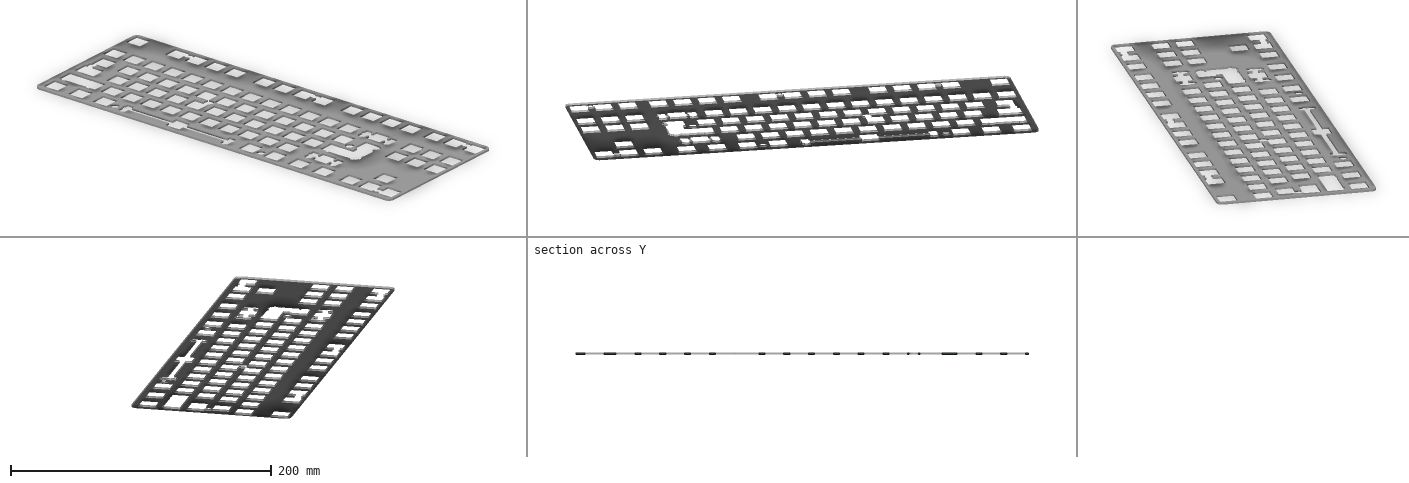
import cadquery as cq

KEY_UNIT = 19.05
FIELD_COLUMNS = 18.25
FIELD_ROWS = 6.5
BOTTOM_LIP = KEY_UNIT / 8
PLATE_LENGTH = FIELD_COLUMNS * KEY_UNIT
PLATE_WIDTH = FIELD_ROWS * KEY_UNIT + BOTTOM_LIP
PLATE_THICKNESS = 1.6
CORNER_RADIUS = 4.65

SWITCH_SIZE = 14.0
MOUNT_DIAMETER = 7.0
WIDE_MOUNT_DIAMETER = 7.5
CENTRE_MOUNT_DIAMETER = 8.0

FUNCTION_ROW = 0.5
NUMBER_ROW = 2.0
TAB_ROW = 3.0
CAPS_ROW = 4.0
SHIFT_ROW = 5.0
SPACE_ROW = 6.0

NAVIGATION = [15.75, 16.75, 17.75]

SHORT_STABILIZER = 11.938
SPACEBAR_STABILIZER = 50.0

HOUSING_WIDTH = 6.7
HOUSING_TOP = 5.53
HOUSING_BOTTOM = -6.77
FOOT_WIDTH = 3.3
FOOT_BOTTOM = -7.97
SIDE_NOTCH_REACH = 4.2
SIDE_NOTCH_TOP = 2.3
SIDE_NOTCH_BOTTOM = -0.5
WIRE_CHANNEL_TOP = 2.3
WIRE_CHANNEL_BOTTOM = -2.3

UPRIGHT = 0
QUARTER_TURN = 90
STABILIZED_KEYS = [
    (14.0, NUMBER_ROW, SHORT_STABILIZER, UPRIGHT),
    (13.875, CAPS_ROW, SHORT_STABILIZER, UPRIGHT),
    (14.375, (TAB_ROW + CAPS_ROW) / 2, SHORT_STABILIZER, QUARTER_TURN),
    (1.125, SHIFT_ROW, SHORT_STABILIZER, UPRIGHT),
    (13.625, SHIFT_ROW, SHORT_STABILIZER, UPRIGHT),
    (6.875, SPACE_ROW, SPACEBAR_STABILIZER, UPRIGHT),
]

TOP_MOUNT_ROW = 0.37
MIDDLE_MOUNT_ROW = 3.5
ENTER_MOUNT_ROW = 3.375
BOTTOM_MOUNT_ROW = 6.13
MOUNTS = [
    (3.0, TOP_MOUNT_ROW, MOUNT_DIAMETER),
    (9.5, TOP_MOUNT_ROW, MOUNT_DIAMETER),
    (17.25, TOP_MOUNT_ROW, MOUNT_DIAMETER),
    (0.5, MIDDLE_MOUNT_ROW, MOUNT_DIAMETER),
    (6.5, MIDDLE_MOUNT_ROW, CENTRE_MOUNT_DIAMETER),
    (13.625, ENTER_MOUNT_ROW, WIDE_MOUNT_DIAMETER),
    (3.75, BOTTOM_MOUNT_ROW, MOUNT_DIAMETER),
    (11.25, BOTTOM_MOUNT_ROW, MOUNT_DIAMETER),
    (17.25, BOTTOM_MOUNT_ROW, MOUNT_DIAMETER),
]


def key_run(first, count):
    """Column centres of neighbouring one-unit keys."""
    return [first + step for step in range(count)]


SWITCH_ROWS = {
    FUNCTION_ROW: [0.5] + key_run(2.5, 4) + key_run(7.0, 4) + key_run(11.5, 4) + NAVIGATION,
    NUMBER_ROW: key_run(0.5, 13) + NAVIGATION,
    TAB_ROW: [0.75] + key_run(2.0, 12) + [14.25] + NAVIGATION,
    CAPS_ROW: [0.625, 0.875] + key_run(2.25, 12),
    SHIFT_ROW: [0.625, 1.75] + key_run(2.75, 10) + NAVIGATION[1:2],
    SPACE_ROW: [0.625, 1.875, 3.125, 10.625, 11.875, 13.125, 14.375] + NAVIGATION,
}


def place(column, row):
    """Plate coordinates of a key-unit position, with the origin at the plate centre."""
    return (column * KEY_UNIT - PLATE_LENGTH / 2, PLATE_WIDTH / 2 - row * KEY_UNIT)


def block(left, right, bottom, top):
    """Cutting block as thick as the plate."""
    return cq.Workplane("XY").box(
        right - left, top - bottom, PLATE_THICKNESS, centered=False
    ).translate((left, bottom, 0))


def stabilized_opening(half_spacing):
    """Switch opening with a wire channel and a stabilizer housing on each side."""
    half_switch = SWITCH_SIZE / 2
    opening = block(-half_switch, half_switch, -half_switch, half_switch)
    opening = opening.union(block(-half_spacing, half_spacing, WIRE_CHANNEL_BOTTOM, WIRE_CHANNEL_TOP))
    half_housing = HOUSING_WIDTH / 2
    half_foot = FOOT_WIDTH / 2
    housing = block(half_spacing - half_housing, half_spacing + half_housing, HOUSING_BOTTOM, HOUSING_TOP)
    foot = block(half_spacing - half_foot, half_spacing + half_foot, FOOT_BOTTOM, 0)
    notch = block(half_spacing, half_spacing + SIDE_NOTCH_REACH, SIDE_NOTCH_BOTTOM, SIDE_NOTCH_TOP)
    housing = housing.union(foot).union(notch)
    return opening.union(housing).union(housing.mirror("YZ"))


def blank_plate():
    return (
        cq.Workplane("XY")
        .rect(PLATE_LENGTH, PLATE_WIDTH)
        .extrude(PLATE_THICKNESS)
        .edges("|Z")
        .fillet(CORNER_RADIUS)
    )


def switch_openings():
    opening = block(-SWITCH_SIZE / 2, SWITCH_SIZE / 2, -SWITCH_SIZE / 2, SWITCH_SIZE / 2)
    return [
        opening.translate(place(column, row)) for row, columns in SWITCH_ROWS.items() for column in columns
    ]


def stabilized_openings():
    openings = []
    for column, row, half_spacing, turn in STABILIZED_KEYS:
        opening = stabilized_opening(half_spacing).rotate((0, 0, 0), (0, 0, 1), turn)
        openings.append(opening.translate(place(column, row)))
    return openings


def mount_holes():
    return [
        cq.Workplane("XY").circle(diameter / 2).extrude(PLATE_THICKNESS).translate(place(column, row))
        for column, row, diameter in MOUNTS
    ]


cutters = [opening.val() for opening in switch_openings() + stabilized_openings() + mount_holes()]
pierced = blank_plate().val().cut(*cutters).clean()
result = cq.Workplane("XY").add(max(pierced.Solids(), key=lambda solid: solid.Volume()))